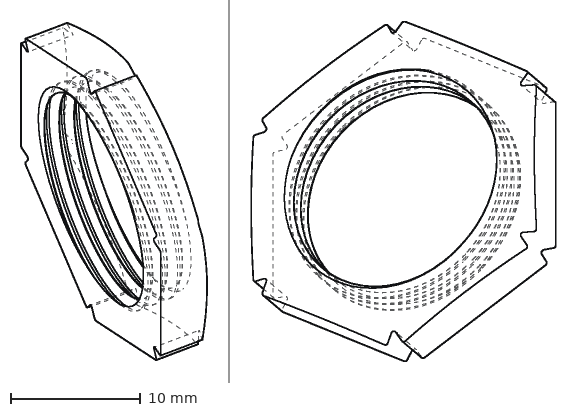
import cadquery as cq
import math

height = 26.77
across_flats = 24.0
thickness = 4.0
sides = 6

notch_angle = 60.0
notch_lip_radius = 0.21
notch_root_radius = 0.21

chamfer_angle = 16.0

minor_radius = 8.6
major_radius = 9.3
pitch = 1.28
crest_flat = 0.05
root_flat = 0.21
groove_overlap = 0.03

cut_margin = 0.27

flat_radius = across_flats / 2
corner_radius = flat_radius / math.cos(math.pi / sides)


def make_hexagon():
    return (
        cq.Workplane("XY")
        .polygon(sides, 2 * corner_radius)
        .extrude(thickness)
        .rotate((0, 0, 0), (0, 0, 1), 90)
    )


def cut_notches(body):
    half_angle = math.radians(notch_angle / 2)
    flat_slope = math.tan(math.pi / sides)
    lip_rise = notch_lip_radius * (math.cos(half_angle) + math.sin(half_angle) - 1)
    lip_y = height / 2 + lip_rise
    lip_x = (corner_radius - lip_y) / flat_slope
    root_y = lip_y - lip_x / math.tan(half_angle)
    mouth_y = corner_radius + cut_margin
    mouth_x = (mouth_y - root_y) * math.tan(half_angle)
    cutter = (
        cq.Workplane("XY")
        .polyline([(0, root_y), (mouth_x, mouth_y), (-mouth_x, mouth_y)])
        .close()
        .extrude(thickness)
        .edges("|Z")
        .edges("<Y")
        .fillet(notch_root_radius)
    )
    for index in range(sides):
        body = body.cut(cutter.rotate((0, 0, 0), (0, 0, 1), index * 360 / sides))

    lip_distance = math.hypot(lip_x, lip_y)
    lips = [
        edge for edge in body.edges("|Z").vals()
        if math.isclose(math.hypot(edge.Center().x, edge.Center().y), lip_distance, abs_tol=0.003)
    ]
    return body.newObject(lips).fillet(notch_lip_radius)


def chamfer_rear(body):
    outer_radius = corner_radius + cut_margin
    chamfer_depth = (outer_radius - flat_radius) * math.tan(math.radians(chamfer_angle))
    envelope = (
        cq.Workplane("XZ")
        .polyline([
            (0, 0),
            (flat_radius, 0),
            (outer_radius, chamfer_depth),
            (outer_radius, thickness),
            (0, thickness),
        ])
        .close()
        .revolve(360, (0, 0, 0), (0, 1, 0))
    )
    return body.intersect(envelope)


def make_thread_cutter():
    depth = major_radius - minor_radius
    flank_width = (pitch - crest_flat - root_flat) / 2
    inner_half = root_flat / 2 + flank_width * (1 + groove_overlap / depth)
    inner_radius = minor_radius - groove_overlap
    turns = math.ceil(thickness / pitch) + 1
    path = cq.Wire.makeHelix(pitch, turns * pitch, minor_radius)
    groove = (
        cq.Workplane("XZ")
        .polyline([
            (inner_radius, -inner_half),
            (major_radius, -root_flat / 2),
            (major_radius, root_flat / 2),
            (inner_radius, inner_half),
        ])
        .close()
        .sweep(path, isFrenet=True)
    )
    start_z = thickness - (turns - 1) * pitch
    return groove.rotate((0, 0, 0), (0, 0, 1), 90).translate((0, 0, start_z))


nut = chamfer_rear(cut_notches(make_hexagon()))
nut = nut.cut(cq.Workplane("XY").circle(minor_radius).extrude(thickness))
nut = nut.cut(make_thread_cutter())

result = nut.translate((0, 0, -thickness / 2)).rotate((0, 0, 0), (1, 0, 0), 90)